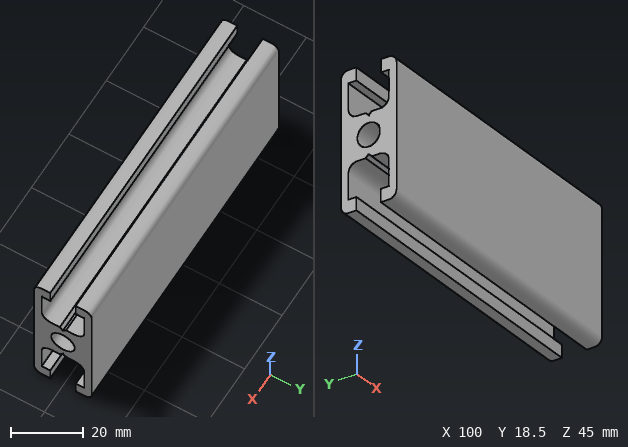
import cadquery as cq

length = 100.0
width = 18.5
height = 45.0
corner_radius = 2.5

wall = 2.5
slot_opening = 8.1
lip_thickness = 4.2
web_height = 14.2
cavity_radius = 3.0

groove_half_width = 1.0
groove_depth = 1.0

bore_diameter = 7.5

cavity_width = width - 2 * wall
floor_z = web_height / 2
lip_z = height / 2 - lip_thickness


def make_body():
    """Solid bar along X with rounded long edges."""
    return cq.Workplane("XY").box(length, width, height).edges("|X").fillet(corner_radius)


def make_upper_slot():
    """Cutter for the upper slot: cavity, opening and floor groove."""
    cavity_height = lip_z - floor_z
    cavity = (
        cq.Workplane("XY")
        .box(length, cavity_width, cavity_height, centered=(True, True, False))
        .edges("|X and <Z")
        .fillet(cavity_radius)
        .translate((0, 0, floor_z))
    )
    opening = (
        cq.Workplane("XY", origin=(0, 0, lip_z))
        .box(length, slot_opening, lip_thickness, centered=(True, True, False))
    )
    groove = (
        cq.Workplane("YZ")
        .moveTo(-groove_half_width, floor_z)
        .lineTo(0, floor_z - groove_depth)
        .lineTo(groove_half_width, floor_z)
        .close()
        .extrude(length / 2, both=True)
    )
    return cavity.union(opening).union(groove)


def make_bore():
    """Cutter for the hole along the full length."""
    return cq.Workplane("YZ").circle(bore_diameter / 2).extrude(length / 2, both=True)


upper_slot = make_upper_slot()
lower_slot = upper_slot.mirror("XY")
result = make_body().cut(upper_slot).cut(lower_slot).cut(make_bore())